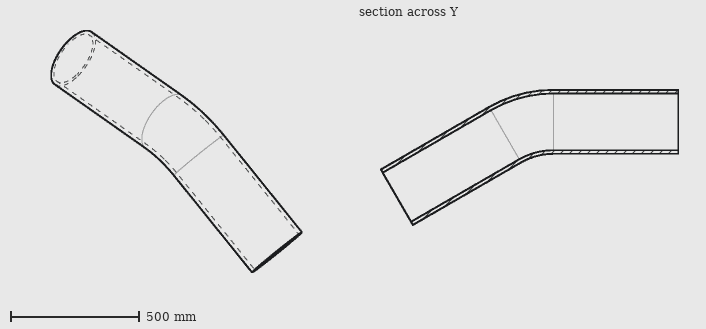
import cadquery as cq
import math

overall_length = 1160.0
outer_diameter = 250.0
inner_diameter = 220.0
bend_angle = 30.0
bend_radius = 1.5 * outer_diameter

angle = math.radians(bend_angle)
bend_reach = (bend_radius + outer_diameter / 2) * math.sin(angle)
leg_length = (overall_length - bend_reach) / (1 + math.cos(angle))

inlet = (0, 0)
bend_start = (leg_length, 0)
bend_middle = (
    leg_length + bend_radius * math.sin(angle / 2),
    -bend_radius * (1 - math.cos(angle / 2)),
)
bend_end = (
    leg_length + bend_radius * math.sin(angle),
    -bend_radius * (1 - math.cos(angle)),
)
outlet = (
    bend_end[0] + leg_length * math.cos(angle),
    bend_end[1] - leg_length * math.sin(angle),
)

centreline = (
    cq.Workplane("XZ")
    .moveTo(*inlet)
    .lineTo(*bend_start)
    .threePointArc(bend_middle, bend_end)
    .lineTo(*outlet)
)

result = (
    cq.Workplane("YZ")
    .circle(outer_diameter / 2)
    .circle(inner_diameter / 2)
    .sweep(centreline)
)